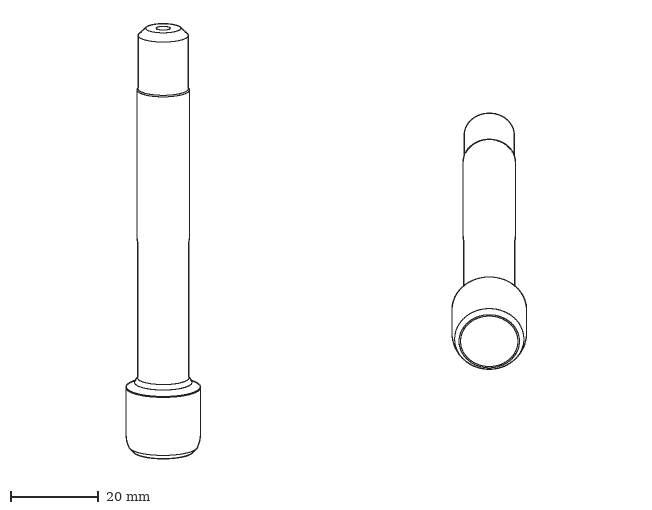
import cadquery as cq
import math

length = 100
guide_bottom = 50.2
guide_top = 85.4
head_height = 15.2
flare_top = 17.3
flare_bottom = 16.2

tip_radius = 11.5 / 2
guide_radius = 12 / 2
shank_radius = 11.7 / 2
stem_radius = 13.1 / 2

tip_flat_radius = 8 / 2
tip_chamfer_height = 1.7
top_step_height = 0.3
lower_taper_height = 0.9
flare_bulge = 0.1

hole_diameter = 2
countersink_diameter = 3.2
countersink_angle = 60
hole_depth = 2
drill_point_angle = 118

sleeve_radius = 17.1 / 2
rim_break_width = 0.1
rim_break_height = 0.2
nose_height = 3.8
nose_end_radius = 7.9
nose_end_height = 1.1
nose_bulge = 0.15
bottom_radius = 6.9


def cone_height(radius_change, full_angle):
    """Height over which a cone of the given full angle changes radius."""
    return radius_change / math.tan(math.radians(full_angle / 2))


def make_centre_hole():
    """Cutter for the countersunk centre hole with its drill point."""
    hole_radius = hole_diameter / 2
    countersink_radius = countersink_diameter / 2
    countersink_depth = cone_height(countersink_radius - hole_radius, countersink_angle)
    hole_bottom = length - hole_depth
    profile = (
        cq.Workplane("XZ")
        .moveTo(0, length)
        .lineTo(countersink_radius, length)
        .lineTo(hole_radius, length - countersink_depth)
        .lineTo(hole_radius, hole_bottom)
        .lineTo(0, hole_bottom - cone_height(hole_radius, drill_point_angle))
        .close()
    )
    return profile.revolve(360, (0, 0, 0), (0, 1, 0))


def make_pin():
    """Stepped guide pin with a flared foot, turned about Z."""
    profile = (
        cq.Workplane("XZ")
        .moveTo(0, 0)
        .lineTo(stem_radius, 0)
        .lineTo(stem_radius, flare_bottom)
        .sagittaArc((shank_radius, flare_top), -flare_bulge)
        .lineTo(shank_radius, guide_bottom - lower_taper_height)
        .lineTo(guide_radius, guide_bottom)
        .lineTo(guide_radius, guide_top)
        .lineTo(tip_radius, guide_top + top_step_height)
        .lineTo(tip_radius, length - tip_chamfer_height)
        .lineTo(tip_flat_radius, length)
        .lineTo(0, length)
        .close()
    )
    pin = profile.revolve(360, (0, 0, 0), (0, 1, 0))
    return pin.cut(make_centre_hole())


def make_sleeve():
    """Bored sleeve with a sloping upper face and a rounded nose."""
    profile = (
        cq.Workplane("XZ")
        .moveTo(stem_radius, 0)
        .lineTo(bottom_radius, 0)
        .lineTo(nose_end_radius, nose_end_height)
        .sagittaArc((sleeve_radius, nose_height), -nose_bulge)
        .lineTo(sleeve_radius, head_height - rim_break_height)
        .lineTo(sleeve_radius - rim_break_width, head_height)
        .lineTo(stem_radius, flare_bottom)
        .close()
    )
    return profile.revolve(360, (0, 0, 0), (0, 1, 0))


pin = make_pin()
sleeve = make_sleeve()
result = cq.Compound.makeCompound([pin.val(), sleeve.val()])